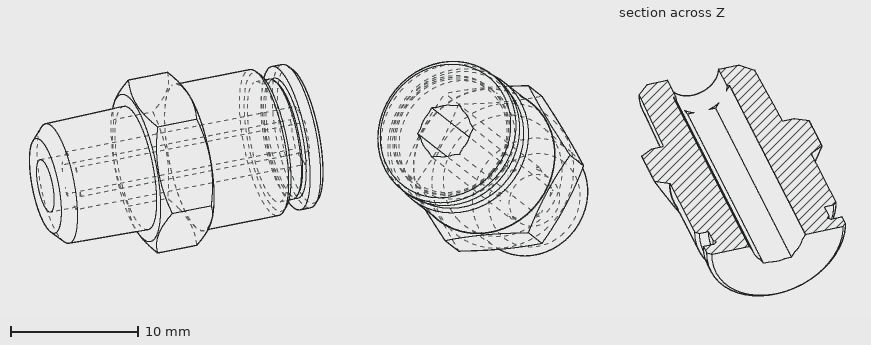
import cadquery as cq
import math

length = 21.2

thread_length = 7.53
thread_root_radius = 4.95
thread_tip_radius = 4.8
thread_chamfer = 1.0

nut_across_flats = 12.0
nut_width = 4.45
nut_face_radius = 5.9
nut_chamfer_angle = 30.0

body_radius = 5.85
body_end = 18.49
body_chamfer = 0.3

neck_radius = 4.81
groove_radius = 4.62
groove_width = 0.4
groove_bottom_from_collar = 0.23

collar_radius = 5.75
collar_width = 1.19
collar_chamfer = 0.32

bore_diameter = 4.2
socket_across_flats = 4.0
socket_start = 2.16

nut_end = thread_length + nut_width
collar_start = length - collar_width


def hex_prism(across_flats, start, end):
    """Hexagonal prism along Y, with two of its corners on the X axis."""
    across_corners = across_flats / math.cos(math.radians(30))
    plane = cq.Workplane("XZ", origin=(0, start, 0))
    return plane.polygon(6, across_corners).extrude(start - end)


def revolve_profile(points):
    """Solid of revolution about Y from (radius, Y) points."""
    return cq.Workplane("XY").polyline(points).close().revolve(360, (0, 0, 0), (0, 1, 0))


def make_turned_parts():
    """Thread stub, body, neck and collar as one turned solid."""
    return revolve_profile([
        (0, 0),
        (thread_tip_radius - thread_chamfer, 0),
        (thread_tip_radius, thread_chamfer),
        (thread_root_radius, thread_length),
        (body_radius, thread_length),
        (body_radius, body_end - body_chamfer),
        (body_radius - body_chamfer, body_end),
        (neck_radius, body_end),
        (neck_radius, collar_start - groove_width),
        (groove_radius, collar_start - groove_bottom_from_collar),
        (neck_radius, collar_start),
        (collar_radius, collar_start),
        (collar_radius, length - collar_chamfer),
        (collar_radius - collar_chamfer, length),
        (0, length),
    ])


def make_nut():
    """Hexagonal nut with its corners chamfered on both faces."""
    corner_radius = nut_across_flats / 2 / math.cos(math.radians(30))
    chamfer_height = (corner_radius - nut_face_radius) * math.tan(math.radians(nut_chamfer_angle))
    envelope = revolve_profile([
        (0, thread_length),
        (nut_face_radius, thread_length),
        (corner_radius, thread_length + chamfer_height),
        (corner_radius, nut_end - chamfer_height),
        (nut_face_radius, nut_end),
        (0, nut_end),
    ])
    return hex_prism(nut_across_flats, thread_length, nut_end).intersect(envelope)


bore = cq.Workplane("XZ").circle(bore_diameter / 2).extrude(-length)
socket = hex_prism(socket_across_flats, socket_start, length)

result = make_turned_parts().union(make_nut()).cut(bore).cut(socket)